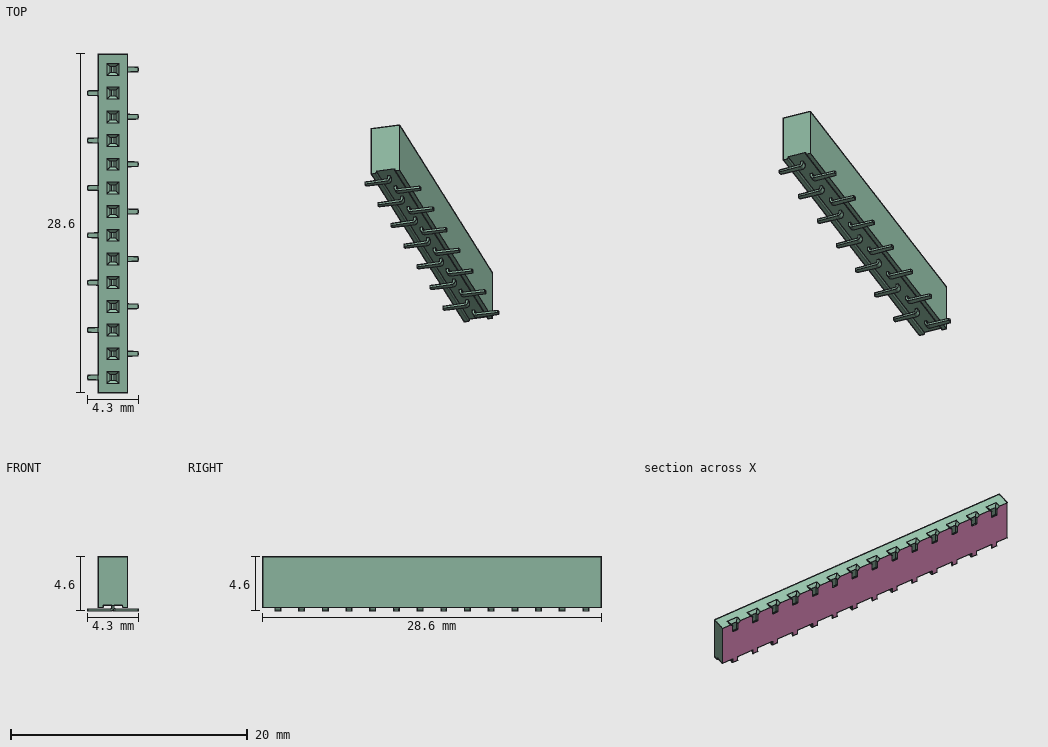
import cadquery as cq

total_width = 4.3
total_height = 4.6
body_width = 2.5
body_length = 28.6

foot_height = 0.3
channel_height = 0.5
foot_width = 0.45
foot_corner_radius = 0.1

contact_count = 14
pitch = 2.0
first_contact_y = -(contact_count - 1) * pitch / 2

socket_mouth = 1.0
socket_size = 0.5
socket_lead_in_depth = 0.25
socket_depth = 3.0

contact_thickness = 0.2
contact_width = socket_size
contact_tip_width = 0.4
contact_tip_bulge = 0.05
contact_top = 3.7
bend_inner_radius = 0.1
bend_outer_radius = bend_inner_radius + contact_thickness


def make_body():
    """Long housing block with a shallow channel between two feet underneath."""
    half_body = body_width / 2
    half_channel = half_body - foot_width
    corner_x = half_channel + foot_corner_radius
    corner_z = foot_height + foot_corner_radius
    profile = (
        cq.Workplane("XZ")
        .moveTo(-half_body, total_height)
        .lineTo(-half_body, foot_height)
        .lineTo(-corner_x, foot_height)
        .radiusArc((-half_channel, corner_z), -foot_corner_radius)
        .lineTo(-half_channel, channel_height)
        .lineTo(half_channel, channel_height)
        .lineTo(half_channel, corner_z)
        .radiusArc((corner_x, foot_height), -foot_corner_radius)
        .lineTo(half_body, foot_height)
        .lineTo(half_body, total_height)
        .close()
    )
    return profile.extrude(body_length / 2, both=True)


def make_socket(y):
    """Square blind hole with a pyramidal lead-in at the top face."""
    top = cq.Workplane("XY").workplane(offset=total_height).center(0, y)
    lead_in = (
        top.rect(socket_mouth, socket_mouth)
        .workplane(offset=-socket_lead_in_depth)
        .rect(socket_size, socket_size)
        .loft(combine=True)
    )
    shaft = top.rect(socket_size, socket_size).extrude(-socket_depth)
    return lead_in.union(shaft)


def make_contact():
    """Contact at Y = 0: an upright leg bent into a tapered solder tail toward +X."""
    half_thickness = contact_thickness / 2
    bend_end_x = bend_outer_radius - half_thickness
    tip_x = total_width / 2

    leg = (
        cq.Workplane("XZ")
        .moveTo(bend_end_x, 0)
        .radiusArc((-half_thickness, bend_outer_radius), bend_outer_radius)
        .lineTo(-half_thickness, contact_top)
        .lineTo(half_thickness, contact_top)
        .lineTo(half_thickness, bend_outer_radius)
        .radiusArc((bend_end_x, contact_thickness), -bend_inner_radius)
        .close()
        .extrude(contact_width / 2, both=True)
    )
    tail = (
        cq.Workplane("XY")
        .moveTo(bend_end_x, -contact_width / 2)
        .lineTo(tip_x - contact_tip_bulge, -contact_tip_width / 2)
        .threePointArc((tip_x, 0), (tip_x - contact_tip_bulge, contact_tip_width / 2))
        .lineTo(bend_end_x, contact_width / 2)
        .close()
        .extrude(contact_thickness)
    )
    return leg.union(tail)


right_contact = make_contact()
left_contact = right_contact.rotate((0, 0, 0), (0, 0, 1), 180)

result = make_body()
for index in range(contact_count):
    contact_y = first_contact_y + index * pitch
    contact = left_contact if index % 2 == 0 else right_contact
    result = result.cut(make_socket(contact_y)).union(contact.translate((0, contact_y, 0)))